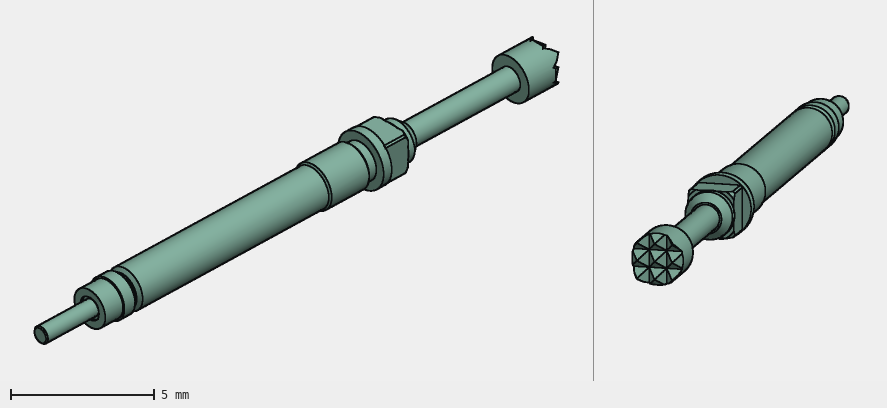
import cadquery as cq

LENGTH = 24.5
TIP_Y = LENGTH / 2

HEAD_END = 1.72
COLLAR_START = 6.8
COLLAR_CONE_END = 7.18
SQUARE_START = 7.47
FLANGE_START = 8.58
FLANGE_END = 8.97
SLEEVE_START = 9.45
SLEEVE_END = 11.35
GROOVE_START = 20.35
GROOVE_END = 20.73
BARREL_END = 21.25
TAIL_END = 22.1

HEAD_RADIUS = 0.93
STEM_RADIUS = 0.5
CONE_RADIUS = 0.56
BARREL_RADIUS = 0.85
FLANGE_RADIUS = 1.15
NECK_RADIUS = 0.78
SLEEVE_RADIUS = 0.93
TAIL_RADIUS = 0.78
PIN_RADIUS = 0.35
SLEEVE_CHAMFER = 0.07
GROOVE_DEPTH = 0.15
PIN_CHAMFER = 0.05

SQUARE_WIDTH = 1.67
SQUARE_CORNER_RADIUS = 1.13
SQUARE_CHAMFER = 0.12

TOOTH_PITCH = 0.64
TOOTH_DEPTH = 0.47

GAP_RADIUS = 0.47
GAP_DEPTH = 0.1


def turned_body():
    """Revolve every round stretch of the probe, the square still being round."""
    profile = [
        (0, 0),
        (HEAD_RADIUS, 0),
        (HEAD_RADIUS, HEAD_END),
        (STEM_RADIUS, HEAD_END),
        (STEM_RADIUS, COLLAR_START),
        (CONE_RADIUS, COLLAR_START),
        (BARREL_RADIUS, COLLAR_CONE_END),
        (BARREL_RADIUS, SQUARE_START),
        (SQUARE_CORNER_RADIUS - SQUARE_CHAMFER, SQUARE_START),
        (SQUARE_CORNER_RADIUS, SQUARE_START + SQUARE_CHAMFER),
        (SQUARE_CORNER_RADIUS, FLANGE_START),
        (FLANGE_RADIUS, FLANGE_START),
        (FLANGE_RADIUS, FLANGE_END),
        (NECK_RADIUS, FLANGE_END),
        (NECK_RADIUS, SLEEVE_START - SLEEVE_CHAMFER),
        (SLEEVE_RADIUS - SLEEVE_CHAMFER, SLEEVE_START - SLEEVE_CHAMFER),
        (SLEEVE_RADIUS, SLEEVE_START),
        (SLEEVE_RADIUS, SLEEVE_END - SLEEVE_CHAMFER),
        (BARREL_RADIUS, SLEEVE_END),
        (BARREL_RADIUS, GROOVE_START),
        (BARREL_RADIUS - GROOVE_DEPTH, GROOVE_START + GROOVE_DEPTH),
        (BARREL_RADIUS - GROOVE_DEPTH, GROOVE_END - GROOVE_DEPTH),
        (BARREL_RADIUS, GROOVE_END),
        (BARREL_RADIUS, BARREL_END),
        (TAIL_RADIUS, BARREL_END),
        (TAIL_RADIUS, TAIL_END),
        (GAP_RADIUS, TAIL_END),
        (GAP_RADIUS, TAIL_END - GAP_DEPTH),
        (PIN_RADIUS, TAIL_END - GAP_DEPTH),
        (PIN_RADIUS, LENGTH - PIN_CHAMFER),
        (PIN_RADIUS - PIN_CHAMFER, LENGTH),
        (0, LENGTH),
    ]
    points = [(radius, TIP_Y - station) for radius, station in profile]
    return cq.Workplane("XY").polyline(points).close().revolve(360, (0, 0, 0), (0, 1, 0))


def square_flats():
    """Ring of material outside the square section, to be cut away."""
    length = FLANGE_START - SQUARE_START
    middle = TIP_Y - SQUARE_START - length / 2
    outer = cq.Workplane("XY").box(2 * FLANGE_RADIUS, length, 2 * FLANGE_RADIUS)
    square = cq.Workplane("XY").box(SQUARE_WIDTH, length, SQUARE_WIDTH)
    return outer.cut(square).translate((0, middle, 0))


def crown_grooves():
    """V grooves crossing in X and Z that leave a grid of pyramid teeth."""
    half_pitch = TOOTH_PITCH / 2
    cutters = None
    for centre in (-3 * half_pitch, -half_pitch, half_pitch, 3 * half_pitch):
        groove = (
            cq.Workplane("XY")
            .polyline([
                (centre - half_pitch, TIP_Y),
                (centre, TIP_Y - TOOTH_DEPTH),
                (centre + half_pitch, TIP_Y),
            ])
            .close()
            .extrude(HEAD_RADIUS, both=True)
        )
        for angle in (0, 90):
            turned = groove.rotate((0, 0, 0), (0, 1, 0), angle)
            cutters = turned if cutters is None else cutters.union(turned)
    return cutters


result = turned_body().cut(square_flats()).cut(crown_grooves())